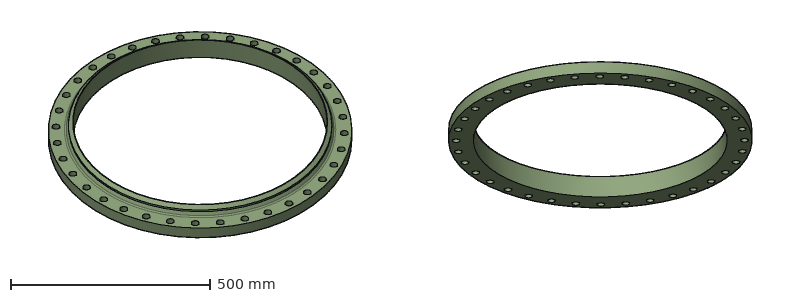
import cadquery as cq

flange_radius = 381.0
flange_thickness = 32.0
bore_radius = 318.5

bolt_count = 36
bolt_circle_radius = 362.0
bolt_hole_diameter = 19.0

total_height = 57.0
weld_land_width = 1.5
weld_radius = 330.5
bevel_base_height = 49.0
taper_top_height = 43.5
hub_base_radius = 337.5
hub_fillet_radius = 5.0

tip_radius = bore_radius + weld_land_width


def make_ring():
    """Revolve the flange and hub section, with the hub tapering outward to the plate."""
    section = (
        cq.Workplane("XZ")
        .moveTo(bore_radius, 0)
        .lineTo(flange_radius, 0)
        .lineTo(flange_radius, flange_thickness)
        .lineTo(hub_base_radius, flange_thickness)
        .lineTo(weld_radius, taper_top_height)
        .lineTo(weld_radius, bevel_base_height)
        .lineTo(tip_radius, total_height)
        .lineTo(bore_radius, total_height)
        .close()
    )
    return section.revolve(360, (0, 0, 0), (0, 1, 0))


def round_hub_base(ring):
    """Fillet the corner between the hub taper and the plate."""
    second_largest_circle = cq.selectors.RadiusNthSelector(-2)
    return ring.edges("%CIRCLE").edges(second_largest_circle).fillet(hub_fillet_radius)


def drill_bolt_holes(ring):
    """Drill the bolt circle through the plate, with one hole on the +X axis."""
    holes = (
        cq.Workplane("XY")
        .polarArray(bolt_circle_radius, 0, 360, bolt_count)
        .circle(bolt_hole_diameter / 2)
        .extrude(flange_thickness)
    )
    return ring.cut(holes)


result = drill_bolt_holes(round_hub_base(make_ring()))